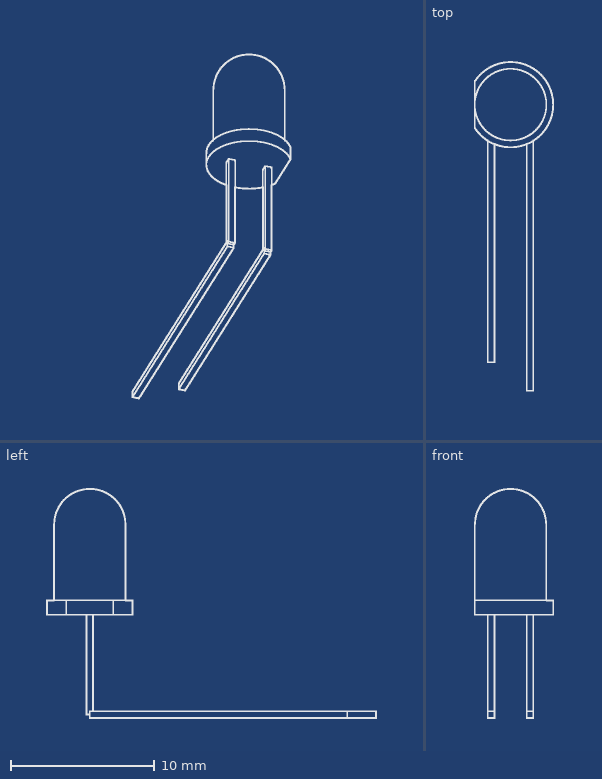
import cadquery as cq

lens_radius = 2.5
barrel_height = 5.3
flange_radius = 3.0
flange_height = 1.01

wire_width = 0.48
lead_offset = 1.35
lead_depth = 7.22
long_reach = 20.0
short_reach = 18.0

bend_height = wire_width / 2 - lead_depth
dome_base = flange_height + barrel_height


def make_lens():
    """Domed lens with a flange cut flat on -X, flush with the barrel."""
    flat_cutter = (
        cq.Workplane("XY")
        .box(flange_radius, 2 * flange_radius, flange_height, centered=(True, True, False))
        .translate((-lens_radius - flange_radius / 2, 0, 0))
    )
    flange = cq.Workplane("XY").circle(flange_radius).extrude(flange_height).cut(flat_cutter)
    domed_barrel = (
        cq.Workplane("YZ")
        .lineTo(-lens_radius, 0)
        .lineTo(-lens_radius, dome_base)
        .radiusArc((0, dome_base + lens_radius), lens_radius)
        .close()
        .revolve(360, (0, 0), (0, 1))
    )
    return flange.union(domed_barrel)


def make_lead_bar(x, reach):
    """Lower bar running toward -Y from the lens axis."""
    return cq.Workplane("XZ").center(x, bend_height).rect(wire_width, wire_width).extrude(reach)


def make_lead_post(x, bar):
    """Upright bar from the flange to the centre line of the lower bar, notched to fit over its end."""
    post = cq.Workplane("XY").center(x, 0).rect(wire_width, wire_width).extrude(bend_height)
    return post.cut(bar)


lens = make_lens()
bodies = lens.solids().vals()
for x, reach in ((-lead_offset, short_reach), (lead_offset, long_reach)):
    lead_bar = make_lead_bar(x, reach)
    lead_post = make_lead_post(x, lead_bar)
    bodies += lead_bar.solids().vals() + lead_post.solids().vals()

result = cq.Compound.makeCompound(bodies)